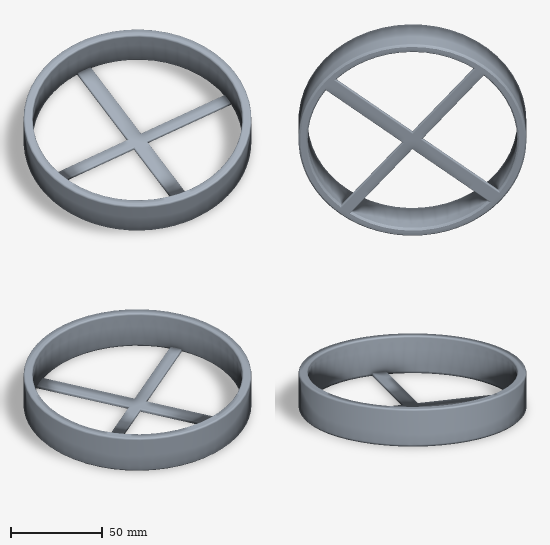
import cadquery as cq
outer_diameter = 125.0
inner_diameter = 115.0
height = 22.0
rim_fillet = 1.0
lower_chamfer = 1.0
lower_chamfer_fillet = 1.0

spoke_thickness = 2.0
x_spoke_width = 8.8
y_spoke_width = 7.0
spoke_length = (outer_diameter + inner_diameter) / 2

spoke_fillet = 0.8


def make_ring():
    """Round wall with a rounded rim and blended chamfers on its lower edges."""
    box_reach = outer_diameter
    box_half_height = lower_chamfer / 4
    at_chamfer_top = cq.selectors.BoxSelector(
        (-box_reach, -box_reach, lower_chamfer - box_half_height),
        (box_reach, box_reach, lower_chamfer + box_half_height),
        boundingbox=True,
    )
    ring = cq.Workplane("XY").circle(outer_diameter / 2).circle(inner_diameter / 2).extrude(height)
    ring = ring.faces(">Z").edges().fillet(rim_fillet)
    ring = ring.faces("<Z").edges().chamfer(lower_chamfer)
    return ring.edges(at_chamfer_top).fillet(lower_chamfer_fillet)


def make_cross():
    """Two crossed spokes with rounded edges above and below."""
    along_x = cq.Workplane("XY").rect(spoke_length, x_spoke_width).extrude(spoke_thickness)
    along_y = cq.Workplane("XY").rect(y_spoke_width, spoke_length).extrude(spoke_thickness)
    return along_x.union(along_y).faces("<Z or >Z").edges().fillet(spoke_fillet)


result = make_ring().union(make_cross())